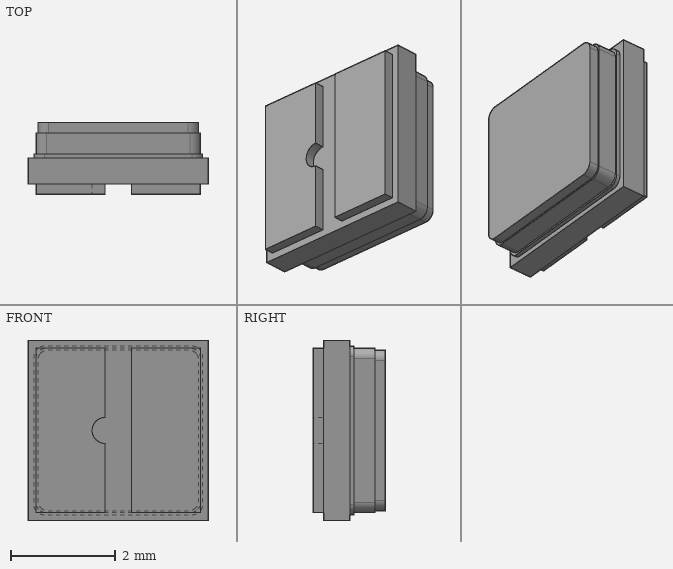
import cadquery as cq


base_side = 3.45
base_thickness = 0.5

pad_thickness = 0.2
pad_length = 3.15
pad_gap = 0.5
pad_width = (pad_length - pad_gap) / 2
pad_center_x = (pad_gap + pad_width) / 2
notch_radius = pad_gap / 2

seal_overhang = 0.04
lid_inset = 0.035
corner_radius = 0.2
frame_side = pad_length
frame_thickness = 2 * pad_thickness
seal_side = frame_side + 2 * seal_overhang
seal_thickness = 0.08
lid_side = frame_side - 2 * lid_inset
lid_thickness = pad_thickness

total_thickness = pad_thickness + base_thickness + seal_thickness + frame_thickness + lid_thickness
pad_y = -total_thickness / 2
base_y = pad_y + pad_thickness
seal_y = base_y + base_thickness
frame_y = seal_y + seal_thickness
lid_y = frame_y + frame_thickness


def make_plate(width, height, thickness, start_y, center_x=0.0):
    """Rectangular plate in XZ that grows from start_y toward +Y."""
    return (
        cq.Workplane("XY")
        .box(width, thickness, height, centered=(True, False, True))
        .translate((center_x, start_y, 0))
    )


def make_rounded_layer(side, thickness, start_y):
    """Square plate with its four corners rounded."""
    return make_plate(side, side, thickness, start_y).edges("|Y").fillet(corner_radius)


def make_pad(center_x):
    """Plain solder pad."""
    return make_plate(pad_width, pad_length, pad_thickness, pad_y, center_x)


def cut_polarity_notch(pad):
    """Half-round notch in the pad edge that faces the gap."""
    notch = (
        cq.Workplane("XZ", origin=(-pad_gap / 2, pad_y, 0))
        .circle(notch_radius)
        .extrude(-pad_thickness)
    )
    return pad.cut(notch)


base = make_plate(base_side, base_side, base_thickness, base_y)
seal_layer = make_rounded_layer(seal_side, seal_thickness, seal_y)
frame = make_rounded_layer(frame_side, frame_thickness, frame_y)
lid = make_rounded_layer(lid_side, lid_thickness, lid_y)

pads = []
for side_sign in (-1, 1):
    pad = make_pad(side_sign * pad_center_x)
    if side_sign < 0:
        pad = cut_polarity_notch(pad)
    pads.append(pad.val())

result = cq.Compound.makeCompound(
    [base.val(), seal_layer.val(), frame.val(), lid.val(), *pads]
)